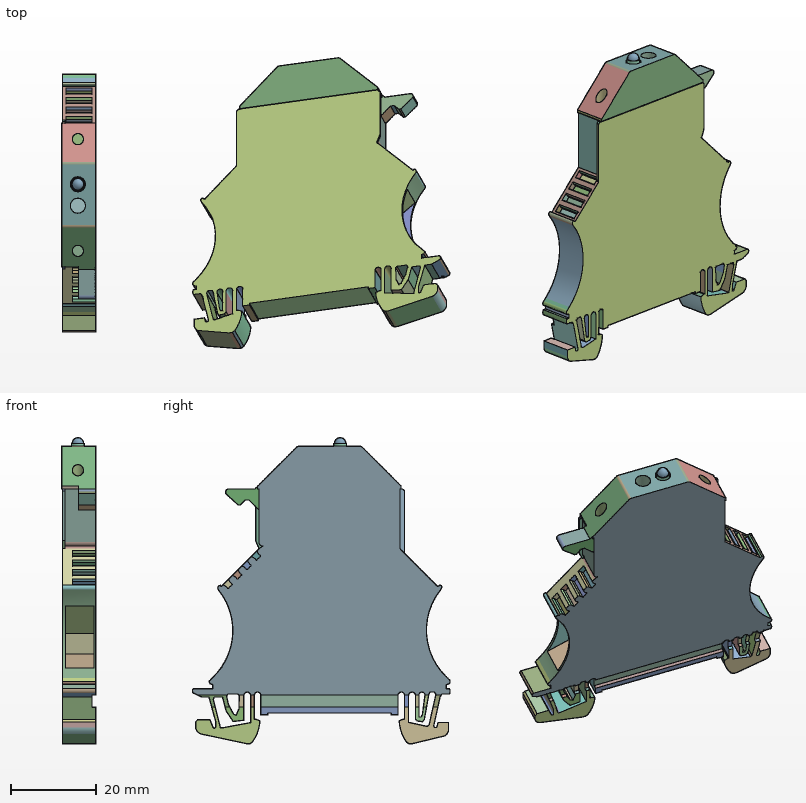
import cadquery as cq


head_left = -4.0
housing_left = -3.8
right_face = 4.0
inner_wall_left = -3.2
hole_axis_x = -0.2

base_level = 7.15
deck_level = 11.55
clip_root = 12.0
tab_underside = 10.85
marker_groove_bottom = 12.85
marker_groove_top = 13.75
waist_level = 26.4
ear_level = 36.6
ear_top = 36.9
head_base = 59.3
head_top = 69.25
lamp_top = 71.24

rear_end = 28.1
tab_tip = -31.9
marker_groove_floor = 27.2
rear_waist = 22.6
front_waist = -22.5
base_half_width = 16.0
base_foot_width = 1.65
base_foot_drop = 0.45
shoulder_foot = 25.2
plate_rear = 17.5
plate_front = -17.2
plate_corner = 0.45
inner_face = 16.4
neck_level = 45.4
neck_height = 1.9
undercut_base = 0.6
undercut_radius = 0.9

head_half_width = 16.7
head_top_half_width = 7.4
skirt_top = head_top - (head_half_width - head_top_half_width)
head_edge_radius = 0.8

lamp_hole_radius = 1.75
lamp_hole_offset = 2.5
lamp_hole_depth = 5.0
probe_hole_radius = 1.3
probe_hole_offset = 13.0

lamp_stem_radius = 1.5
lamp_dome_radius = 1.35
lamp_floor = head_top - lamp_hole_depth

lever_left = -0.1
lever_right = 3.85
lever_tip = -24.15
lever_tip_radius = 0.7
lever_tip_height = 1.1
lever_root_depth = 0.5
lever_notch_start = 18.7
lever_underside = 56.7
lever_tooth_level = 55.5

slot_count = 4
slot_pitch = 2.2
slot_first = 24.15
slot_mouth_width = 1.95
slot_throat_width = 1.4
slot_bevel_depth = 0.6
slot_depth = 1.5
front_slots_left = -1.4
rear_slots_left = -3.0
rear_slots_right = 3.1

pocket_left = -3.1
pocket_right = 3.5
pocket_back = -15.6
pocket_mouth = -25.3
pocket_floor = (17.6, 20.9)
pocket_roof = (33.4, 25.7)

groove_bottom = 8.5
groove_top = 11.3
groove_depth = 0.9


def plane_at(x):
    """YZ sketch plane at the given X; its axes are Y and Z."""
    return cq.Workplane("YZ", origin=(x, 0, 0))


def slab(outline_points, left=housing_left, right=right_face):
    """Prism with a straight-sided outline between two X stations."""
    return plane_at(left).polyline(outline_points).close().extrude(right - left)


def upright_slot(y_low, y_high, bottom):
    """Through slot with a rounded top that reaches the clip root."""
    radius = (y_high - y_low) / 2
    spring = clip_root - radius
    return (
        plane_at(housing_left)
        .moveTo(y_low, bottom)
        .lineTo(y_low, spring)
        .threePointArc((y_low + radius, clip_root), (y_high, spring))
        .lineTo(y_high, bottom)
        .close()
        .extrude(right_face - housing_left)
    )


def housing_slab():
    """Main slab: rail base, tab, finger hollows, shoulders and the upper plate."""
    rear_shoulder_top = ear_level + shoulder_foot - plate_rear
    neck = -(shoulder_foot - (neck_level - ear_level))
    base_foot = base_level - base_foot_drop
    base_inner = base_half_width - base_foot_width
    return (
        plane_at(housing_left)
        .moveTo(-base_inner, base_level)
        .lineTo(base_inner, base_level)
        .lineTo(base_inner, base_foot)
        .lineTo(base_half_width, base_foot)
        .lineTo(base_half_width, deck_level)
        .lineTo(27.9, deck_level)
        .threePointArc((rear_end, 12.2), (27.9, marker_groove_bottom))
        .lineTo(marker_groove_floor, marker_groove_bottom)
        .lineTo(marker_groove_floor, marker_groove_top)
        .lineTo(27.8, 13.9)
        .threePointArc((rear_end, 14.5), (27.8, 15.0))
        .lineTo(marker_groove_floor, 15.6)
        .threePointArc((rear_waist, waist_level), (25.8, 35.7))
        .lineTo(26.1, 36.2)
        .threePointArc((26.05, 36.75), (25.6, ear_top))
        .lineTo(shoulder_foot, ear_level)
        .lineTo(plate_rear, rear_shoulder_top)
        .lineTo(plate_rear, head_base - plate_corner)
        .lineTo(plate_rear - plate_corner, head_base)
        .lineTo(plate_front + plate_corner, head_base)
        .lineTo(plate_front, head_base - plate_corner)
        .lineTo(plate_front, neck_level + neck_height)
        .lineTo(neck, neck_level)
        .lineTo(-shoulder_foot, ear_level)
        .lineTo(-25.4, ear_top)
        .threePointArc((-25.8, ear_top - 0.2), (-25.85, 35.8))
        .threePointArc((front_waist, waist_level), (-27.3, 15.3))
        .lineTo(-28.05, 14.5)
        .lineTo(-27.8, 13.95)
        .lineTo(-marker_groove_floor, marker_groove_top)
        .lineTo(-marker_groove_floor, marker_groove_bottom)
        .lineTo(-31.55, marker_groove_bottom)
        .threePointArc((tab_tip, 12.4), (-31.6, 11.75))
        .lineTo(-29.7, tab_underside)
        .lineTo(-28.0, tab_underside)
        .lineTo(-27.0, deck_level)
        .lineTo(-base_half_width, deck_level)
        .lineTo(-base_half_width, base_foot)
        .lineTo(-base_inner, base_foot)
        .close()
        .extrude(right_face - housing_left)
    )


def rear_clip():
    """Rear rail clip: inner leg, hooked foot and outer arm, windows not yet cut."""
    return (
        plane_at(housing_left)
        .moveTo(17.45, clip_root)
        .lineTo(17.3, 5.8)
        .lineTo(16.2, 5.35)
        .threePointArc((16.75, 2.6), (17.9, 0.4))
        .lineTo(18.5, 0)
        .lineTo(19.3, 0)
        .lineTo(26.8, 1.8)
        .threePointArc((27.45, 2.4), (27.75, 3.2))
        .lineTo(27.75, 4.95)
        .lineTo(25.25, 4.95)
        .lineTo(25.05, 4.1)
        .threePointArc((24.65, 3.8), (24.3, 4.2))
        .lineTo(25.8, 11.0)
        .lineTo(26.5, clip_root)
        .close()
        .extrude(right_face - housing_left)
    )


def front_clip():
    """Front rail clip, with a longer foot than the rear one."""
    return (
        plane_at(housing_left)
        .moveTo(-17.45, clip_root)
        .lineTo(-17.3, 5.8)
        .lineTo(-16.15, 5.35)
        .threePointArc((-16.65, 2.8), (-17.9, 0.4))
        .lineTo(-18.5, 0)
        .lineTo(-19.3, 0)
        .lineTo(-29.9, 2.25)
        .threePointArc((-30.7, 2.8), (-31.15, 3.7))
        .lineTo(-31.15, 5.1)
        .lineTo(-30.65, 5.6)
        .lineTo(-27.8, 5.6)
        .lineTo(-27.1, 3.95)
        .threePointArc((-26.75, 3.65), (-26.5, 4.0))
        .lineTo(-26.5, 5.2)
        .lineTo(-28.05, tab_underside)
        .lineTo(-28.05, clip_root)
        .close()
        .extrude(right_face - housing_left)
    )


def clip_windows():
    """Openings that leave the spring arms and the hollow tongues of both clips."""
    gap_bottom = 5.75
    gaps = upright_slot(16.0, 17.45, gap_bottom).union(upright_slot(-17.45, -16.0, gap_bottom))
    rear_opening = upright_slot(18.45, 20.0, 5.0).union(upright_slot(-19.9, -18.35, 5.0))
    rear_sweep = slab([
        (24.75, 11.5), (24.4, clip_root), (23.4, clip_root), (23.15, 11.5), (22.1, 5.6), (21.6, 5.1),
        (20.4, 5.3), (20.0, 5.75), (18.45, 5.75), (18.45, 5.0), (22.75, 4.05), (23.15, 4.35),
    ])
    front_sweep = slab([
        (-18.35, 5.75), (-19.9, 5.45), (-22.4, 5.15), (-24.05, 7.6), (-24.9, tab_underside),
        (-26.8, tab_underside), (-27.0, 10.3), (-25.35, 3.75), (-24.8, 3.75), (-18.35, 4.95),
    ])
    rear_tongue = upright_slot(20.85, 22.2, 11.2).union(slab([
        (20.85, 11.3), (22.2, 11.3), (21.6, 6.8), (21.35, 6.25), (20.85, 6.25),
    ]))
    front_tongue = slab([
        (-21.0, 11.25), (-21.3, deck_level), (-23.65, deck_level), (-23.9, 11.1),
        (-23.5, 9.2), (-22.3, 6.9), (-21.7, 6.65), (-21.1, 8.1),
    ])
    return [gaps, rear_opening, rear_sweep, front_sweep, rear_tongue, front_tongue]


def end_recesses():
    """Steps behind the cover plate that set both end walls back below the head."""
    rear_rise = plate_rear - inner_face
    rear_foot = ear_level + shoulder_foot - plate_rear
    rear = slab([
        (plate_rear, rear_foot), (inner_face, rear_foot + rear_rise),
        (inner_face, head_base), (plate_rear, head_base),
    ], inner_wall_left)
    front = (
        plane_at(inner_wall_left)
        .moveTo(plate_front, head_base)
        .lineTo(-inner_face, head_base)
        .lineTo(-inner_face, neck_level + undercut_base + undercut_radius)
        .radiusArc((undercut_radius - inner_face, neck_level + undercut_base), -undercut_radius)
        .lineTo(-inner_face, neck_level)
        .lineTo(plate_front, neck_level)
        .close()
        .extrude(right_face - inner_wall_left)
    )
    return [rear, front]


def head():
    """Sloped head, slightly wider than the housing on its left side."""
    outline = [
        (-head_half_width, head_base), (head_half_width, head_base), (head_half_width, skirt_top),
        (head_top_half_width, head_top), (-head_top_half_width, head_top), (-head_half_width, skirt_top),
    ]
    return slab(outline, head_left).edges("|X and >Z").fillet(head_edge_radius)


def lever():
    """Pull lever on the front of the head, with a rounded tip and a toothed underside."""
    slope_overrun = skirt_top - head_base
    root = lever_root_depth - inner_face
    root_bottom = lever_underside - (lever_notch_start - inner_face)
    return (
        plane_at(lever_left)
        .moveTo(root, head_base)
        .lineTo(-head_half_width, skirt_top)
        .lineTo(-head_half_width - slope_overrun, head_base)
        .lineTo(lever_tip + lever_tip_radius, head_base)
        .radiusArc((lever_tip, head_base - lever_tip_radius), -lever_tip_radius)
        .lineTo(lever_tip, head_base - lever_tip_height)
        .lineTo(-21.2, lever_tooth_level)
        .lineTo(-20.75, lever_tooth_level)
        .lineTo(-19.6, lever_underside)
        .lineTo(-lever_notch_start, lever_underside)
        .lineTo(-inner_face, root_bottom)
        .lineTo(root, root_bottom)
        .close()
        .extrude(lever_right - lever_left)
    )


def grip_slot(left, right):
    """Cutter for one slot: bevelled mouth at Z = 0 and a straight throat below."""
    mouth = slot_mouth_width / 2
    throat = slot_throat_width / 2
    return slab([
        (-mouth, 0), (-throat, -slot_bevel_depth), (-throat, -slot_depth),
        (throat, -slot_depth), (throat, -slot_bevel_depth), (mouth, 0),
    ], left, right)


def grip_slots():
    """Slots square to the 45 degree shoulders, in a row on each side."""
    cutters = []
    for index in range(slot_count):
        y = slot_first - index * slot_pitch
        z = ear_level + shoulder_foot - y
        for side, left, right in ((1, rear_slots_left, rear_slots_right), (-1, front_slots_left, right_face)):
            cutter = grip_slot(left, right).rotate((0, 0, 0), (1, 0, 0), -45 * side)
            cutters.append(cutter.translate((0, side * y, z)))
    return cutters


def screwdriver_pocket():
    """Funnel that narrows from the front hollow to an upright back wall."""
    return slab([
        (pocket_mouth, pocket_floor[0]), (pocket_back, pocket_floor[1]),
        (pocket_back, pocket_roof[1]), (pocket_mouth, pocket_roof[0]),
    ], pocket_left, pocket_right)


def side_groove():
    """Groove along the whole right face above the rail base."""
    return slab([
        (tab_tip, groove_bottom), (rear_end, groove_bottom), (rear_end, groove_top), (tab_tip, groove_top),
    ], right_face - groove_depth, right_face)


def head_hole(y, radius, floor):
    """Vertical blind hole with a flat floor, open at the top."""
    return (
        cq.Workplane("XY", origin=(hole_axis_x, y, floor))
        .circle(radius)
        .extrude(head_top - floor)
    )


def build_housing():
    body = housing_slab().union(rear_clip()).union(front_clip())
    for cutter in clip_windows() + end_recesses():
        body = body.cut(cutter)
    body = body.union(head()).union(lever())
    for cutter in grip_slots():
        body = body.cut(cutter)
    body = body.cut(screwdriver_pocket()).cut(side_groove())
    for side in (1, -1):
        body = body.cut(head_hole(side * lamp_hole_offset, lamp_hole_radius, lamp_floor))
        body = body.cut(head_hole(side * probe_hole_offset, probe_hole_radius, head_base))
    return body


def build_lamp():
    """Indicator lamp: a stem on the floor of its hole, ending in a smaller dome."""
    shoulder = lamp_top - lamp_dome_radius
    return (
        cq.Workplane("XZ")
        .moveTo(0, lamp_floor)
        .lineTo(lamp_stem_radius, lamp_floor)
        .lineTo(lamp_stem_radius, shoulder)
        .lineTo(lamp_dome_radius, shoulder)
        .radiusArc((0, lamp_top), -lamp_dome_radius)
        .close()
        .revolve(360, (0, 0, 0), (0, 1, 0))
        .translate((hole_axis_x, lamp_hole_offset, 0))
    )


housing = build_housing()
lamp = build_lamp()

result = cq.Compound.makeCompound([housing.val(), lamp.val()])